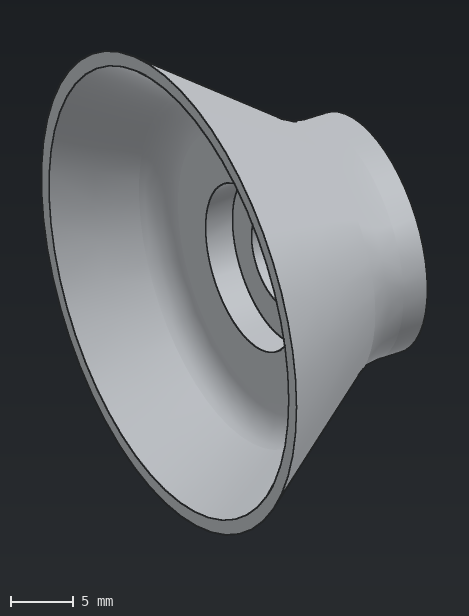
import cadquery as cq
import math

rim_radius = 20.0
height = 18.0
neck_radius = 10.0
neck_length = 4.0
neck_blend_radius = 5.5
wall_thickness = 1.0

floor_depth = 7.5
floor_blend_radius = 4.0

bore_diameter = 8.0
counterbore_diameter = 14.0
counterbore_depth = 2.5

cone_length = height - neck_length
cone_angle = math.atan2(rim_radius - neck_radius, cone_length)
inner_rim_radius = rim_radius - wall_thickness / math.cos(cone_angle)
floor_radius = inner_rim_radius - floor_depth * math.tan(cone_angle)


def revolve_about_y(points):
    """Turn a closed (radius, y) outline into a solid of revolution."""
    return cq.Workplane("XY").polyline(points).close().revolve(360, (0, 0), (0, 1))


def ring_at(radius, y):
    """Select the circular edge of the given radius at the given y."""
    tolerance = 0.005
    reach = radius + tolerance
    return cq.selectors.BoxSelector(
        (-reach, y - tolerance, -reach), (reach, y + tolerance, reach), boundingbox=True
    )


def bell_body():
    body = revolve_about_y([
        (0, 0),
        (rim_radius, 0),
        (neck_radius, cone_length),
        (neck_radius, height),
        (0, height),
    ])
    return body.edges(ring_at(neck_radius, cone_length)).fillet(neck_blend_radius)


def bell_cavity():
    cavity = revolve_about_y([
        (0, 0),
        (inner_rim_radius, 0),
        (floor_radius, floor_depth),
        (0, floor_depth),
    ])
    return cavity.edges(ring_at(floor_radius, floor_depth)).fillet(floor_blend_radius)


def hole_cutter(diameter, start, end):
    """Cylinder along +Y from y = start to y = end."""
    return cq.Workplane("XZ", origin=(0, start, 0)).circle(diameter / 2).extrude(start - end)


bore = hole_cutter(bore_diameter, 0, height)
counterbore = hole_cutter(counterbore_diameter, 0, floor_depth + counterbore_depth)

result = bell_body().cut(bell_cavity()).cut(counterbore).cut(bore)